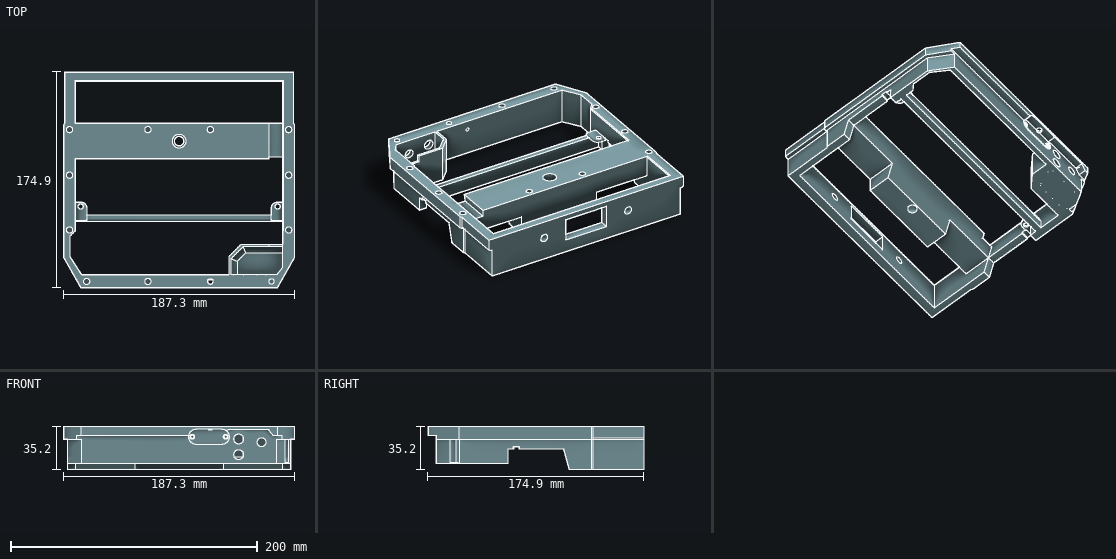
import cadquery as cq
import math

height = 35.19
depth = 174.89
flange_half_width = 187.32 / 2
back_y = depth / 2
front_y = -depth / 2

flange_thickness = 10.6
flange_bottom = height - flange_thickness
lip_thickness = 7.6
lip_bottom = height - lip_thickness
front_body_bottom = 4.9
arch_top = 16.7

flange_overhang = 3.1
body_half_width = flange_half_width - flange_overhang
rear_narrowing = 0.8
narrow_start_y = 44.7
narrow_end_y = 46.0
flange_front_half_width = 79.6
flange_corner_y = -62.6
body_front_half_width = 79.0
body_front_y = -81.1
body_corner_y = -61.9
rear_flange_taper = 1.1

inner_half_width = 83.8
inner_back_y = 79.9
inner_top_chamfer = 0.7
inner_front_y = -76.6
relief_x = -88.3
relief_start_y = -40.9
relief_full_y = -45.5
relief_corner_y = -62.2
relief_front_x = -79.0
right_corner_x = 79.3
right_corner_y = -70.8

arch_rear_bottom_y = 26.8
arch_rear_top_y = 22.2
arch_front_y = -22.6
notch_rear_y = -13.7
notch_front_y = -18.6
notch_height = 1.8
arch_slope = (arch_rear_bottom_y - arch_rear_top_y) / arch_top

bar_rear_y = 46.0
bar_top_front_y = arch_rear_bottom_y - arch_slope * height
bar_bottom = arch_top
bar_block_half_width = 35.8
bar_hole_y = 31.5
bar_hole_diameter = 7.5
bar_counterbore_diameter = 11.11
bar_counterbore_depth = 10.0
ledge_x = 72.8
ledge_drop = 5.5

rail_rear_y = -28.2
rail_front_y = -33.8
rail_edge_radius = 1.8
ear_thickness = 2.0
ear_inner_x = 74.6
ear_rear_y = -17.9
ear_front_y = -32.8
ear_corner_radius = 5.0
ear_edge_radius = 1.8
ear_hole_x = 79.8
ear_hole_y = -21.5
ear_hole_diameter = 4.0

pocket_outer_x = 40.3
pocket_outer_y = -52.2
pocket_bevel_leg = 9.8
pocket_wall = 1.8
pocket_slope = 5.0
pocket_slope_top = 10.4
pocket_floor_top = 5.9
pocket_floor_bevel_leg = pocket_bevel_leg - (2 - math.sqrt(2)) * pocket_slope

screw_diameter = 5.05
corner_screw_diameter = 4.3
screw_depth = 6.0
corner_screw_depth = 3.0
side_screw_x = 88.8
side_screw_ys = (40.8, 3.9, -40.5)
middle_screw_x = 25.3
rear_screw_y = 40.8
front_screw_y = -82.2
corner_screw_x = 74.9

slot_x = 24.2
slot_z = 26.7
slot_length = 33.0
slot_height = 12.2
slot_recess = 0.5
slot_pilot_spacing = 27.1
slot_pilot_diameter = 2.71
slot_pilot_mouth_diameter = 4.0
slot_pilot_mouth_depth = 1.0
slot_pilot_depth = 3.0
lip_relief_roof_z = 32.6
lip_relief_end_x = 72.1
lip_relief_run = 4.2
jack_diameter = 7.94
jack_x = 48.2
jack_zs = (24.9, 12.2)
small_jack_diameter = 7.14
small_jack_x = 66.8
small_jack_z = 22.3

groove_x_range = (85.7, 88.7)
groove_y_range = (-75.0, -62.5)
groove_sill = 0.8
groove_bottom = front_body_bottom + groove_sill

window_width = 39.0
window_bottom = 11.3
window_top = 30.6
rear_hole_diameter = 6.5
rear_hole_x = 40.0
rear_hole_z = 19.9


def prism(points, bottom, top):
    """Vertical prism over a plan outline."""
    return cq.Workplane("XY").workplane(offset=bottom).polyline(points).close().extrude(top - bottom)


def box(x_range, y_range, z_range):
    corners = [
        (x_range[0], y_range[0]),
        (x_range[1], y_range[0]),
        (x_range[1], y_range[1]),
        (x_range[0], y_range[1]),
    ]
    return prism(corners, *z_range)


def profile_along_x(points, x_start, x_end):
    """Prism along X over a (y, z) profile."""
    return cq.Workplane("YZ").workplane(offset=x_start).polyline(points).close().extrude(x_end - x_start)


def hole_along_y(x, z, diameter, front, rear):
    plane = cq.Workplane("XZ", origin=(x, front, z))
    return plane.circle(diameter / 2).extrude(front - rear)


def hole_down(x, y, diameter, length):
    return cq.Workplane("XY", origin=(x, y, height)).circle(diameter / 2).extrude(-length)


def outer_outline(half_width, front_half_width, corner_y, front):
    """Plan outline with clipped front corners and a slightly narrower rear."""
    right = [
        (front_half_width, front),
        (half_width, corner_y),
        (half_width, narrow_start_y),
        (half_width - rear_narrowing, narrow_end_y),
        (half_width - rear_narrowing, back_y),
    ]
    left = [(-x, y) for x, y in reversed(right)]
    return right + left


def make_shell():
    body = prism(
        outer_outline(body_half_width, body_front_half_width, body_corner_y, body_front_y), 0, height
    )
    flange = prism(
        outer_outline(flange_half_width, flange_front_half_width, flange_corner_y, front_y),
        flange_bottom,
        height,
    )
    under_lip = box(
        (-flange_half_width, flange_half_width), (front_y, body_front_y), (flange_bottom, lip_bottom)
    )
    return body.union(flange.cut(under_lip)).cut(make_opening())


def make_opening():
    outline = [
        (-inner_half_width, inner_back_y),
        (inner_half_width, inner_back_y),
        (inner_half_width, right_corner_y),
        (right_corner_x, inner_front_y),
        (relief_front_x, inner_front_y),
        (relief_x, relief_corner_y),
        (relief_x, relief_full_y),
        (-inner_half_width, relief_start_y),
    ]
    return prism(outline, 0, height).union(make_opening_chamfer())


def make_opening_chamfer():
    """Flared mouth of the opening behind the relief."""
    flare = inner_top_chamfer
    width = 2 * inner_half_width
    length = inner_back_y - relief_start_y
    return (
        cq.Workplane("XY", origin=(0, relief_start_y, height - flare))
        .center(0, length / 2)
        .rect(width, length)
        .workplane(offset=flare)
        .center(0, flare / 2)
        .rect(width + 2 * flare, length + flare)
        .loft(ruled=True)
    )


def make_arch():
    """Clearance under the front section and through both side walls."""
    return profile_along_x(
        [
            (arch_rear_bottom_y, 0),
            (arch_rear_top_y, arch_top),
            (notch_rear_y, arch_top),
            (notch_rear_y, arch_top + notch_height),
            (notch_front_y, arch_top + notch_height),
            (notch_front_y, arch_top),
            (arch_front_y, arch_top),
            (arch_front_y, front_body_bottom),
            (front_y, front_body_bottom),
            (front_y, 0),
        ],
        -flange_half_width,
        flange_half_width,
    )


def make_rear_flange_taper():
    """Wedge that slopes the underside of the right rear flange; the left one is its mirror image."""
    outer_x = flange_half_width - rear_narrowing
    inner_x = body_half_width - rear_narrowing
    wedge = [
        (inner_x, flange_bottom),
        (outer_x, flange_bottom),
        (outer_x, flange_bottom + rear_flange_taper),
    ]
    plane = cq.Workplane("XZ", origin=(0, back_y, 0))
    return plane.polyline(wedge).close().extrude(back_y - narrow_end_y)


def make_bar():
    """Cross bar whose front face continues the slope of the arch down to the underside."""
    bar = profile_along_x(
        [
            (bar_top_front_y, height),
            (arch_rear_top_y, bar_bottom),
            (bar_rear_y, bar_bottom),
            (bar_rear_y, height),
        ],
        -inner_half_width - inner_top_chamfer,
        inner_half_width,
    )
    block = profile_along_x(
        [
            (arch_rear_top_y, bar_bottom),
            (arch_rear_bottom_y, 0),
            (bar_rear_y, 0),
            (bar_rear_y, bar_bottom),
        ],
        -bar_block_half_width,
        bar_block_half_width,
    )
    ledge = box((ledge_x, inner_half_width), (bar_top_front_y, bar_rear_y), (height - ledge_drop, height))
    bore = hole_down(0, bar_hole_y, bar_hole_diameter, height)
    counterbore = hole_down(0, bar_hole_y, bar_counterbore_diameter, bar_counterbore_depth)
    return bar.union(block).cut(ledge).cut(bore).cut(counterbore)


def make_rail():
    rail = box(
        (-inner_half_width, inner_half_width), (rail_front_y, rail_rear_y), (front_body_bottom, arch_top)
    )
    return rail.edges("<Y and >Z").fillet(rail_edge_radius)


def make_ear():
    """Right-hand ear; the left one is its mirror image."""
    top = arch_top + ear_thickness
    ear = box((ear_inner_x, inner_half_width), (ear_front_y, ear_rear_y), (arch_top, top))
    ear = ear.edges("|Z and <X and >Y").fillet(ear_corner_radius)
    ear = ear.faces(">Z").edges("<X").fillet(ear_edge_radius)
    hole = hole_down(ear_hole_x, ear_hole_y, ear_hole_diameter, height)
    return ear.cut(hole)


def pocket_outline(inset, bevel_leg):
    """Plan outline of the pocket, inset from its two free walls, with a 45-degree bevel between them."""
    x = pocket_outer_x + inset
    y = pocket_outer_y - inset
    return [
        (x, inner_front_y),
        (right_corner_x, inner_front_y),
        (inner_half_width, right_corner_y),
        (inner_half_width, y),
        (x + bevel_leg, y),
        (x, y - bevel_leg),
    ]


def make_pocket():
    outer = prism(pocket_outline(0, pocket_bevel_leg), front_body_bottom, height)
    upper_cavity = prism(pocket_outline(pocket_wall, pocket_bevel_leg), pocket_slope_top, height)
    lower_cavity = (
        cq.Workplane("XY", origin=(0, 0, pocket_floor_top))
        .polyline(pocket_outline(pocket_wall + pocket_slope, pocket_floor_bevel_leg))
        .close()
        .workplane(offset=pocket_slope_top - pocket_floor_top)
        .polyline(pocket_outline(pocket_wall, pocket_bevel_leg))
        .close()
        .loft(ruled=True)
    )
    ledge = box((ledge_x, inner_half_width), (inner_front_y, pocket_outer_y), (height - ledge_drop, height))
    return outer.cut(upper_cavity).cut(lower_cavity).cut(ledge)


def make_screw_holes():
    """Blind screw holes in the top; the one above the slot opens into it."""
    large = [(side * side_screw_x, y) for side in (-1, 1) for y in side_screw_ys]
    large += [(side * middle_screw_x, rear_screw_y) for side in (-1, 1)]
    large += [(-corner_screw_x, front_screw_y), (-middle_screw_x, front_screw_y)]
    small = [(middle_screw_x, front_screw_y), (corner_screw_x, front_screw_y)]
    top = cq.Workplane("XY", origin=(0, 0, height))
    large_holes = top.pushPoints(large).circle(screw_diameter / 2).extrude(-screw_depth)
    small_holes = top.pushPoints(small).circle(corner_screw_diameter / 2).extrude(-corner_screw_depth)
    return large_holes.union(small_holes)


def make_front_slot():
    """Rounded recess through the lip, with a stepped pilot hole near each end."""
    floor_y = body_front_y + slot_recess
    slot = (
        cq.Workplane("XZ", origin=(slot_x, front_y, slot_z))
        .slot2D(slot_length, slot_height)
        .extrude(front_y - floor_y)
    )
    for side in (-1, 1):
        x = slot_x + side * slot_pilot_spacing / 2
        mouth_y = floor_y + slot_pilot_mouth_depth
        slot = slot.union(hole_along_y(x, slot_z, slot_pilot_mouth_diameter, front_y, mouth_y))
        slot = slot.union(hole_along_y(x, slot_z, slot_pilot_diameter, front_y, floor_y + slot_pilot_depth))
    return slot


def make_lip_relief():
    """Clearance under the lip in front of the jack holes."""
    outline = [
        (slot_x, lip_bottom),
        (slot_x + slot_length / 2, lip_relief_roof_z),
        (lip_relief_end_x, lip_relief_roof_z),
        (lip_relief_end_x + lip_relief_run, lip_bottom),
    ]
    plane = cq.Workplane("XZ", origin=(0, front_y, 0))
    return plane.polyline(outline).close().extrude(front_y - body_front_y)


def make_jack_holes():
    holes = hole_along_y(small_jack_x, small_jack_z, small_jack_diameter, front_y, inner_front_y)
    for z in jack_zs:
        holes = holes.union(hole_along_y(jack_x, z, jack_diameter, front_y, inner_front_y))
    return holes


def make_rear_openings():
    window = box(
        (-window_width / 2, window_width / 2), (inner_back_y, back_y), (window_bottom, window_top)
    )
    for side in (-1, 1):
        hole = hole_along_y(side * rear_hole_x, rear_hole_z, rear_hole_diameter, inner_back_y, back_y)
        window = window.union(hole)
    return window


shell = make_shell()
rear_taper = make_rear_flange_taper()
shell = shell.cut(rear_taper).cut(rear_taper.mirror("YZ"))

ear = make_ear()
result = shell.union(make_bar()).cut(make_arch())
result = result.union(make_rail()).union(ear).union(ear.mirror("YZ"))
result = result.union(make_pocket())
result = result.cut(make_screw_holes())
result = result.cut(make_lip_relief()).cut(make_front_slot()).cut(make_jack_holes())
result = result.cut(box(groove_x_range, groove_y_range, (groove_bottom, flange_bottom)))
result = result.cut(make_rear_openings())